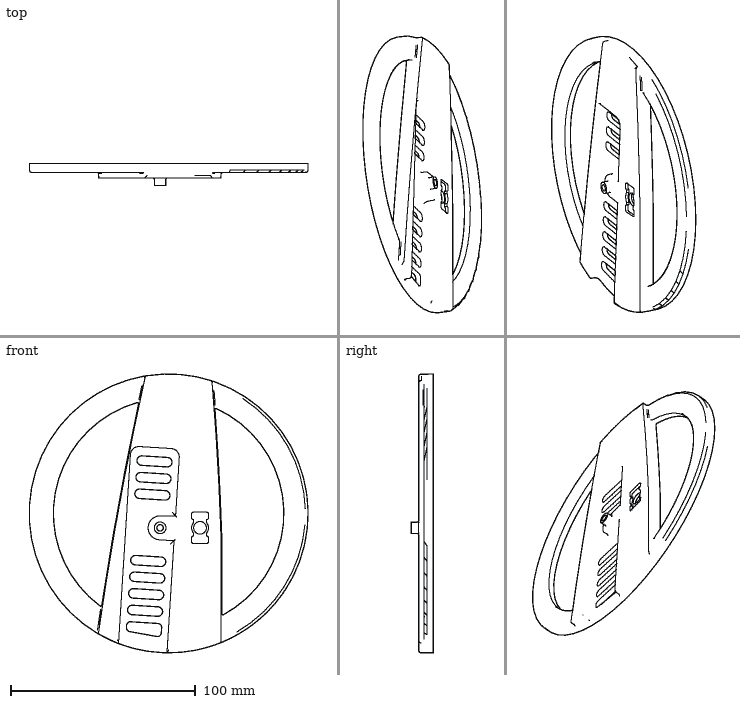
import cadquery as cq
import math


TOLERANCE = 0.01

RIM_RADIUS = 75.5
RIM_HEIGHT = 5.0
RIM_HOLE_RADIUS = 62.3
EDGE_RADIUS = 1.5

BAR_HEIGHT = 8.0
BAR_DRAFT = 3.5
JUNCTION_RADIUS = 0.6
BAR_OVERRUN = 80.0
LEFT_SIDE_TOP = (-11.8, BAR_OVERRUN)
LEFT_SIDE_MIDDLE = (-27.5, 2.7)
LEFT_SIDE_BOTTOM = (-40.6, -BAR_OVERRUN)
RIGHT_SIDE_TOP = (23.2, BAR_OVERRUN)
RIGHT_SIDE_MIDDLE = (26.4, 38.0)
RIGHT_ARC_END = (28.8, -12.0)

HUB_X = -4.6
HUB_Z = -7.8
HUB_RADIUS = 6.5
PIN_HEIGHT = 12.0
PIN_DIAMETER = 6.3
PIN_BORE = 3.4
PIN_FOOT_RADIUS = 0.7

TILT = 3.6
CHANNEL_CENTRE = -5.3
CHANNEL_WIDTH = 26.5
CHANNEL_TOP = 43.2
CHANNEL_BOTTOM = -90.0
CHANNEL_CORNER_RADIUS = 4.6
FLOOR_HEIGHT = 3.0
FLOOR_FILLET = 2.3
CHANNEL_EDGE_RADIUS = 0.7
MOUTH_EDGE_RADIUS = 0.5

SLOT_LENGTH = 18.9
SLOT_WIDTH = 5.0
SLOT_PITCH = 9.0
SLOT_SHIFT = -0.3
PLAIN_SLOT_ROWS = (4, 3, 2, -2, -3, -4, -5)
FLARED_SLOT_ROW = -6
FLARE_DROP = 2.2
FLARED_SLOT_CORNER = 2.0

RECESS_X = 17.0
RECESS_DEPTH = 1.5
RECESS_WIDTH = 9.1
RECESS_LENGTH = 16.9
LOBE_LENGTH = 4.0
LOBE_CORNER_RADIUS = 0.9
NECK_WIDTH = 7.0
DIMPLE_DIAMETER = 6.9
DIMPLE_DEPTH = 1.5


def front_plane(height=0.0):
    """Workplane facing -Y whose local axes are X and Z."""
    return cq.Workplane("XZ", origin=(0, -height, 0))


def middle(edge):
    return edge.positionAt(0.5)


def distance_from_axis(edge):
    """Distance of an edge's middle from the wheel's axis."""
    point = middle(edge)
    return math.hypot(point.x, point.z)


def lies_on_rim(edge):
    return abs(distance_from_axis(edge) - RIM_RADIUS) < TOLERANCE


def rim():
    ring = front_plane().circle(RIM_RADIUS).circle(RIM_HOLE_RADIUS).extrude(RIM_HEIGHT)
    hole_edge = cq.selectors.RadiusNthSelector(0)
    return ring.faces("<Y").edges(hole_edge).fillet(EDGE_RADIUS)


def crossbar():
    outline = (
        front_plane()
        .moveTo(*LEFT_SIDE_BOTTOM)
        .threePointArc(LEFT_SIDE_MIDDLE, LEFT_SIDE_TOP)
        .lineTo(*RIGHT_SIDE_TOP)
        .threePointArc(RIGHT_SIDE_MIDDLE, RIGHT_ARC_END)
        .lineTo(RIGHT_ARC_END[0], -BAR_OVERRUN)
        .close()
    )
    disc = front_plane().circle(RIM_RADIUS).extrude(BAR_HEIGHT)
    return outline.extrude(BAR_HEIGHT, taper=BAR_DRAFT).intersect(disc)


def is_junction(edge):
    """True where a side of the crossbar meets the front face of the rim."""
    on_rim_face = abs(middle(edge).y + RIM_HEIGHT) < TOLERANCE
    within_band = RIM_HOLE_RADIUS + EDGE_RADIUS < distance_from_axis(edge) < RIM_RADIUS - TOLERANCE
    return on_rim_face and within_band


def is_outer_front_edge(edge):
    return lies_on_rim(edge) and middle(edge).y < -RIM_HEIGHT + TOLERANCE


def wheel():
    """Rim and crossbar blended into one body with rounded front edges."""
    body = rim().union(crossbar())
    body = body.edges().filter(is_junction).fillet(JUNCTION_RADIUS)
    return body.edges().filter(is_outer_front_edge).fillet(EDGE_RADIUS)


def tilted(across, along):
    """X and Z of a point given in the channel's tilted frame."""
    angle = math.radians(TILT)
    x = HUB_X + across * math.cos(angle) + along * math.sin(angle)
    z = HUB_Z - across * math.sin(angle) + along * math.cos(angle)
    return (x, z)


def channel():
    """Open-ended trough with a wall that steps around the hub."""
    left = CHANNEL_CENTRE - CHANNEL_WIDTH / 2
    right = CHANNEL_CENTRE + CHANNEL_WIDTH / 2
    radius = CHANNEL_CORNER_RADIUS
    arc_inset = radius * (1 - math.sqrt(0.5))
    angle = math.radians(TILT)
    upper_arm_along = (HUB_RADIUS + right * math.sin(angle)) / math.cos(angle)

    outline = (
        front_plane(BAR_HEIGHT)
        .moveTo(*tilted(left, CHANNEL_BOTTOM))
        .lineTo(*tilted(left, CHANNEL_TOP - radius))
        .threePointArc(tilted(left + arc_inset, CHANNEL_TOP - arc_inset), tilted(left + radius, CHANNEL_TOP))
        .lineTo(*tilted(right - radius, CHANNEL_TOP))
        .threePointArc(tilted(right - arc_inset, CHANNEL_TOP - arc_inset), tilted(right, CHANNEL_TOP - radius))
        .lineTo(*tilted(right, upper_arm_along))
        .lineTo(HUB_X, HUB_Z + HUB_RADIUS)
        .threePointArc((HUB_X - HUB_RADIUS, HUB_Z), tilted(0, -HUB_RADIUS))
        .lineTo(*tilted(right, -HUB_RADIUS))
        .lineTo(*tilted(right, CHANNEL_BOTTOM))
        .close()
    )
    trough = outline.extrude(FLOOR_HEIGHT - BAR_HEIGHT)
    return trough.faces(">Y").edges().fillet(FLOOR_FILLET)


def is_channel_mouth(edge):
    """True where the channel's floor and the feet of its walls run out through the rim."""
    point = middle(edge)
    left_limit, _ = tilted(CHANNEL_CENTRE - CHANNEL_WIDTH / 2, -RIM_RADIUS)
    right_limit, _ = tilted(CHANNEL_CENTRE + CHANNEL_WIDTH / 2, -RIM_RADIUS)
    inside_channel = left_limit < point.x < right_limit and point.z < 0
    above_floor = FLOOR_HEIGHT - TOLERANCE < -point.y < RIM_HEIGHT
    return lies_on_rim(edge) and inside_channel and above_floor


def cut_channel(body):
    """Trim the body with a plate that carries the channel and its softened upper edge."""
    plate = front_plane().rect(2 * BAR_OVERRUN, 2 * BAR_OVERRUN).extrude(BAR_HEIGHT)
    plate = plate.cut(channel()).faces("<Y").edges().fillet(CHANNEL_EDGE_RADIUS)
    body = body.intersect(plate)
    return body.edges().filter(is_channel_mouth).fillet(MOUTH_EDGE_RADIUS)


def slot_plane(row):
    x, z = tilted(CHANNEL_CENTRE, SLOT_SHIFT + row * SLOT_PITCH)
    return front_plane().center(x, z).transformed(rotate=(0, 0, -TILT))


def plain_slot(row):
    return slot_plane(row).slot2D(SLOT_LENGTH, SLOT_WIDTH).extrude(BAR_HEIGHT)


def flared_slot():
    """Last slot, whose lower edge drops away to the right."""
    half_length = SLOT_LENGTH / 2
    half_width = SLOT_WIDTH / 2
    corners = [
        (-half_length, half_width),
        (half_length, half_width),
        (half_length, -half_width - FLARE_DROP),
        (-half_length, -half_width),
    ]
    block = slot_plane(FLARED_SLOT_ROW).polyline(corners).close().extrude(BAR_HEIGHT)
    return block.edges("|Y").fillet(FLARED_SLOT_CORNER)


def recess():
    floor = front_plane(BAR_HEIGHT - RECESS_DEPTH).center(RECESS_X, HUB_Z)
    lobe_offset = (RECESS_LENGTH - LOBE_LENGTH) / 2
    lobes = (
        floor.pushPoints([(0, lobe_offset), (0, -lobe_offset)])
        .rect(RECESS_WIDTH, LOBE_LENGTH)
        .extrude(RECESS_DEPTH)
        .edges("|Y")
        .fillet(LOBE_CORNER_RADIUS)
    )
    neck = floor.rect(NECK_WIDTH, 2 * lobe_offset).extrude(RECESS_DEPTH)
    middle_disc = floor.circle(RECESS_WIDTH / 2).extrude(RECESS_DEPTH)
    dimple = floor.circle(DIMPLE_DIAMETER / 2).extrude(-DIMPLE_DEPTH)
    return lobes.union(neck).union(middle_disc).union(dimple)


def add_pin(body):
    pin = front_plane(FLOOR_HEIGHT).center(HUB_X, HUB_Z).circle(PIN_DIAMETER / 2)
    body = body.union(pin.extrude(PIN_HEIGHT - FLOOR_HEIGHT))
    foot_edge = cq.selectors.NearestToPointSelector((HUB_X, -BAR_HEIGHT, HUB_Z))
    body = body.edges("%CIRCLE").edges(foot_edge).fillet(PIN_FOOT_RADIUS)
    return body.cut(front_plane().center(HUB_X, HUB_Z).circle(PIN_BORE / 2).extrude(PIN_HEIGHT))


body = cut_channel(wheel())
for row in PLAIN_SLOT_ROWS:
    body = body.cut(plain_slot(row))
body = body.cut(flared_slot()).cut(recess())
result = add_pin(body)